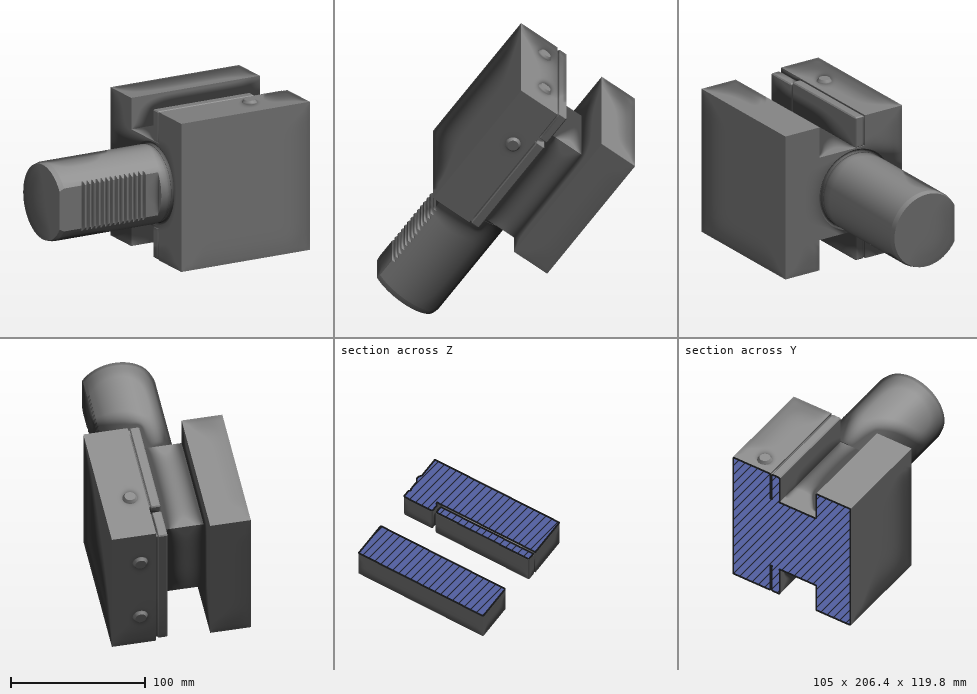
import cadquery as cq


body_left = -62.5
body_right = 42.5
body_length = 110.0
body_height = 115.2
left_arm_width = 30.7
right_arm_width = 33.5
web_height = 66.5
web_rear_setback = 25.4

bar_left = 0.5
bar_width = 7.5
long_bar_depth = 24.5
rear_bar_depth = 25.4
bar_edge_chamfer = 0.8
bar_end_gap = 1.9
rear_bar_overhang = 0.6
rear_bar_length = 110.0
backing_inset = 1.2

screw_base_diameter = 11.5
screw_tip_diameter = 8.3
screw_protrusion = 2.3
screw_x = 21.0
side_screw_setback = 39.2
rear_screw_spread = 57.8

shank_diameter = 60.0
shank_length = 94.1
neck_diameter = 59.2
neck_length = 3.5
tip_chamfer_length = 4.0
tip_chamfer_depth = 1.0

seat_outer_diameter = 64.0
seat_inner_diameter = 61.5
seat_depth = 1.2
seal_root_diameter = 60.0
seal_protrusion = 1.0
relief_width = 0.6
relief_diameter = 58.6

flat_offset = 25.0
flat_start = 10.0
tooth_gap_count = 14
first_gap_position = 21.7
last_gap_position = 73.7
gap_mouth_width = 2.9
gap_root_width = 0.8
gap_depth = 1.9

half_height = body_height / 2
left_arm_inner = body_left + left_arm_width
right_arm_inner = body_right - right_arm_width
web_rear = body_length - web_rear_setback
bar_right = bar_left + bar_width
shank_radius = shank_diameter / 2
tooth_pitch = (last_gap_position - first_gap_position) / (tooth_gap_count - 1)


def box_between(low, high):
    """Axis-aligned box from its lowest to its highest corner."""
    size = [end - start for start, end in zip(low, high)]
    return cq.Workplane("XY").box(*size, centered=False).translate(low)


def make_body():
    left_arm = box_between(
        (body_left, 0, -half_height), (left_arm_inner, body_length, half_height))
    right_arm = box_between(
        (right_arm_inner, 0, -half_height), (body_right, body_length, half_height))
    web = box_between(
        (left_arm_inner, 0, -web_height / 2), (right_arm_inner, web_rear, web_height / 2))
    return left_arm.union(web).union(right_arm)


def make_bar(y_range, z_range):
    """Chamfered bar with a smaller backing strip that reaches the right arm."""
    y_low, y_high = y_range
    z_low, z_high = z_range
    bar = box_between((bar_left, y_low, z_low), (bar_right, y_high, z_high))
    bar = bar.edges().chamfer(bar_edge_chamfer)
    backing = box_between(
        (bar_right - bar_edge_chamfer, y_low + backing_inset, z_low + backing_inset),
        (right_arm_inner, y_high - backing_inset, z_high - backing_inset))
    return bar.union(backing)


def make_bars():
    long_bar = make_bar((0, web_rear - bar_end_gap), (half_height - long_bar_depth, half_height))
    rear_edge = body_length + rear_bar_overhang
    rear_bar = make_bar(
        (rear_edge - rear_bar_depth, rear_edge), (-rear_bar_length / 2, rear_bar_length / 2))
    return [long_bar, long_bar.mirror("XY"), rear_bar]


def make_screw_end():
    """Tapered screw end standing on the XY plane."""
    cone = cq.Solid.makeCone(screw_base_diameter / 2, screw_tip_diameter / 2, screw_protrusion)
    return cq.Workplane("XY").add(cone)


def make_screws():
    side_screw = make_screw_end().translate(
        (screw_x, body_length - side_screw_setback, half_height))
    rear_screw = make_screw_end().rotate((0, 0, 0), (1, 0, 0), -90).translate(
        (screw_x, body_length, rear_screw_spread / 2))
    return [side_screw, side_screw.mirror("XY"), rear_screw, rear_screw.mirror("XY")]


def make_seal_seat():
    """Conical recess in the front face of the body."""
    profile = [
        (0, 0),
        (seat_outer_diameter / 2, 0),
        (seat_inner_diameter / 2, seat_depth),
        (0, seat_depth),
    ]
    return cq.Workplane("XY").polyline(profile).close().revolve(360, (0, 0), (0, 1))


def make_shank():
    relief_end = seal_protrusion + relief_width
    profile = [
        (0, seat_depth),
        (seal_root_diameter / 2, seat_depth),
        (neck_diameter / 2, -seal_protrusion),
        (relief_diameter / 2, -seal_protrusion),
        (relief_diameter / 2, -relief_end),
        (neck_diameter / 2, -relief_end),
        (neck_diameter / 2, -neck_length),
        (shank_radius, -neck_length),
        (shank_radius, -shank_length + tip_chamfer_length),
        (shank_radius - tip_chamfer_depth, -shank_length),
        (0, -shank_length),
    ]
    return cq.Workplane("XY").polyline(profile).close().revolve(360, (0, 0), (0, 1))


def make_flat_cut():
    return box_between(
        (flat_offset, -shank_length, -shank_radius), (shank_radius, -flat_start, shank_radius))


def make_tooth_gaps():
    """Row of V-shaped gaps that leaves the rack teeth on the flat."""
    centers = [
        (flat_offset, -first_gap_position - index * tooth_pitch)
        for index in range(tooth_gap_count)
    ]
    gap_profile = (
        cq.Sketch()
        .push(centers)
        .polygon([
            (0, gap_mouth_width / 2),
            (-gap_depth, gap_root_width / 2),
            (-gap_depth, -gap_root_width / 2),
            (0, -gap_mouth_width / 2),
            (0, gap_mouth_width / 2),
        ])
    )
    return cq.Workplane("XY").placeSketch(gap_profile).extrude(shank_radius, both=True)


shank = make_shank().cut(make_flat_cut()).cut(make_tooth_gaps())
result = make_body().cut(make_seal_seat()).union(shank)
for attachment in make_bars() + make_screws():
    result = result.union(attachment)